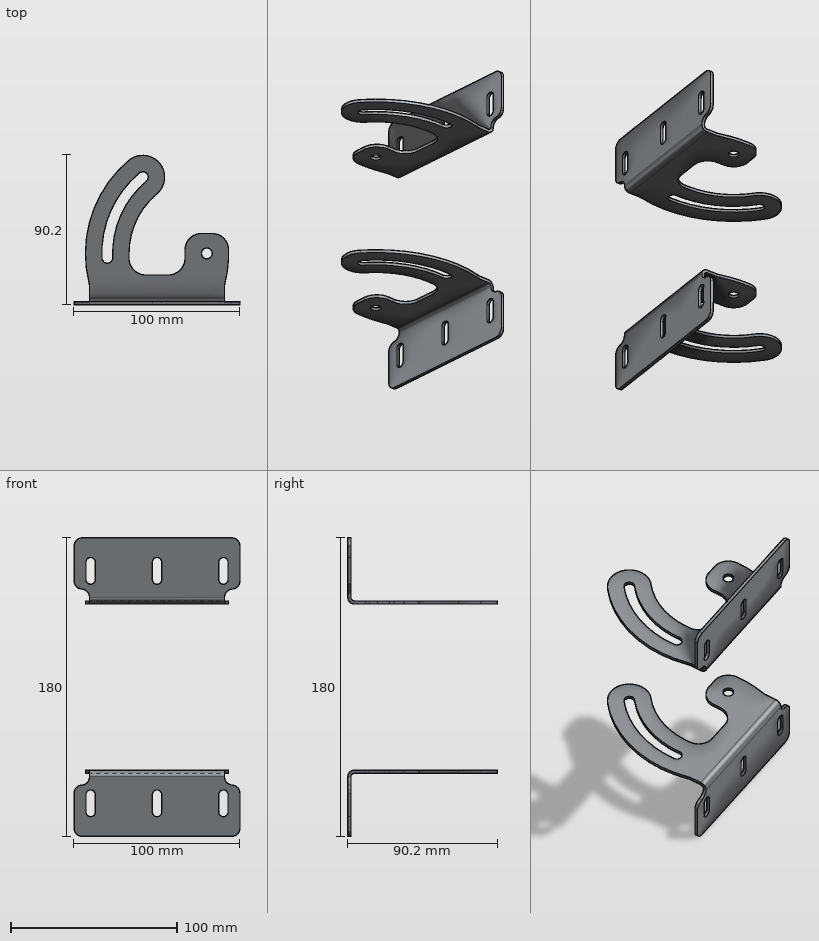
import cadquery as cq
import math

thickness = 2.0
bend_inner_radius = 2.0
bend_radius = bend_inner_radius + thickness

bracket_gap = 100.0
bracket_height = 40.0
sheet_bottom = bracket_gap / 2
flange_top = sheet_bottom + bracket_height

flange_width = 100.0
flange_corner_radius = 5.0
neck_width = 81.4
neck_half = neck_width / 2
relief_radius = 5.0

mount_slot_pitch = 40.0
mount_slot_length = 16.0
mount_slot_width = 5.5
mount_slot_height = sheet_bottom + 20.0

pivot_x = 30.0
pivot_y = 31.0
pivot_hole_diameter = 6.4
swing_radius = 2 * pivot_x
swing_slot_width = pivot_hole_diameter
swing_slot_start = 182.5
swing_slot_end = 130.0

arm_margin = 10.0
arm_half_width = swing_slot_width / 2 + arm_margin
arm_outer_radius = swing_radius + arm_half_width
arm_inner_radius = swing_radius - arm_half_width

throat_bottom = 18.1
throat_radius = 10.0
throat_half_width = pivot_x - arm_half_width

lug_top = 43.1
lug_corner_radius = 10.0
neck_fillet_radius = 10.0


def on_circle(center, radius, degrees):
    angle = math.radians(degrees)
    return (center[0] + radius * math.cos(angle), center[1] + radius * math.sin(angle))


def angle_between(center, point):
    """Direction from center to point, in degrees from 0 to 360."""
    return math.degrees(math.atan2(point[1] - center[1], point[0] - center[0])) % 360


def arc_to(outline, center, radius, start, end):
    """Continue an outline along a circle from one angle to another."""
    middle = on_circle(center, radius, (start + end) / 2)
    return outline.threePointArc(middle, on_circle(center, radius, end))


def make_flange():
    radius = flange_corner_radius
    bend_top = sheet_bottom + bend_radius
    corner_x = flange_width / 2 - radius
    relief_x = neck_half + relief_radius

    center_distance = radius + relief_radius
    lower_corner_z = bend_top + math.sqrt(center_distance**2 - (relief_x - corner_x) ** 2)
    upper_corner_z = flange_top - radius
    relief_end = angle_between((relief_x, bend_top), (corner_x, lower_corner_z))

    outline = cq.Workplane("XZ").moveTo(neck_half, bend_top)
    outline = arc_to(outline, (relief_x, bend_top), relief_radius, 180, relief_end)
    outline = arc_to(outline, (corner_x, lower_corner_z), radius, relief_end - 180, 0)
    outline = outline.lineTo(flange_width / 2, upper_corner_z)
    outline = arc_to(outline, (corner_x, upper_corner_z), radius, 0, 90)
    outline = outline.lineTo(0, flange_top).lineTo(0, bend_top).close()
    right_half = outline.extrude(-thickness)
    flange = right_half.union(right_half.mirror("YZ")).clean()

    slots = (
        cq.Workplane("XZ")
        .pushPoints([(i * mount_slot_pitch, mount_slot_height) for i in (-1, 0, 1)])
        .slot2D(mount_slot_length, mount_slot_width, 90)
        .extrude(-thickness)
    )
    return flange.cut(slots)


def make_bend():
    center = (bend_radius, sheet_bottom + bend_radius)
    profile = cq.Workplane("YZ", origin=(-neck_half, 0, 0)).moveTo(*on_circle(center, bend_radius, 180))
    profile = arc_to(profile, center, bend_radius, 180, 270)
    profile = profile.lineTo(*on_circle(center, bend_inner_radius, 270))
    profile = arc_to(profile, center, bend_inner_radius, 270, 180)
    return profile.close().extrude(neck_width)


def make_arm_outline():
    pivot = (pivot_x, pivot_y)
    mirrored_pivot = (-pivot_x, pivot_y)

    fillet_x = neck_half + neck_fillet_radius
    fillet_distance = arm_outer_radius + neck_fillet_radius
    outer_drop = math.degrees(math.acos((pivot_x + fillet_x) / fillet_distance))
    fillet_y = pivot_y - fillet_distance * math.sin(math.radians(outer_drop))
    tip_center = on_circle(pivot, swing_radius, swing_slot_end)

    throat_corner_x = throat_half_width - throat_radius
    throat_corner_y = throat_bottom + throat_radius

    corner_y = lug_top - lug_corner_radius
    corner_reach = math.sqrt((arm_outer_radius - lug_corner_radius) ** 2 - (corner_y - pivot_y) ** 2)
    left_corner = (throat_half_width + lug_corner_radius, corner_y)
    right_corner = (corner_reach - pivot_x, corner_y)
    side_start = angle_between(mirrored_pivot, right_corner)

    outline = (
        cq.Workplane("XY", origin=(0, 0, sheet_bottom))
        .moveTo(-neck_half, bend_radius)
        .lineTo(-neck_half, fillet_y)
    )
    outline = arc_to(outline, (-fillet_x, fillet_y), neck_fillet_radius, 0, outer_drop)
    outline = arc_to(outline, pivot, arm_outer_radius, 180 + outer_drop, swing_slot_end)
    outline = arc_to(outline, tip_center, arm_half_width, swing_slot_end, swing_slot_end - 180)
    outline = arc_to(outline, pivot, arm_inner_radius, swing_slot_end, 180)
    outline = outline.lineTo(-throat_half_width, throat_corner_y)
    outline = arc_to(outline, (-throat_corner_x, throat_corner_y), throat_radius, 180, 270)
    outline = outline.lineTo(throat_corner_x, throat_bottom)
    outline = arc_to(outline, (throat_corner_x, throat_corner_y), throat_radius, -90, 0)
    outline = outline.lineTo(throat_half_width, corner_y)
    outline = arc_to(outline, left_corner, lug_corner_radius, 180, 90)
    outline = outline.lineTo(right_corner[0], lug_top)
    outline = arc_to(outline, right_corner, lug_corner_radius, 90, side_start)
    outline = arc_to(outline, mirrored_pivot, arm_outer_radius, side_start, -outer_drop)
    outline = arc_to(outline, (fillet_x, fillet_y), neck_fillet_radius, 180 - outer_drop, 180)
    return outline.lineTo(neck_half, bend_radius).close()


def make_swing_slot():
    pivot = (pivot_x, pivot_y)
    half = swing_slot_width / 2
    start = swing_slot_start
    end = swing_slot_end
    start_center = on_circle(pivot, swing_radius, start)
    end_center = on_circle(pivot, swing_radius, end)
    outline = cq.Workplane("XY", origin=(0, 0, sheet_bottom)).moveTo(
        *on_circle(pivot, swing_radius + half, start)
    )
    outline = arc_to(outline, pivot, swing_radius + half, start, end)
    outline = arc_to(outline, end_center, half, end, end - 180)
    outline = arc_to(outline, pivot, swing_radius - half, end, start)
    outline = arc_to(outline, start_center, half, start + 180, start)
    return outline.close().extrude(thickness)


def make_arm_plate():
    pivot_hole = (
        cq.Workplane("XY", origin=(pivot_x, pivot_y, sheet_bottom))
        .circle(pivot_hole_diameter / 2)
        .extrude(thickness)
    )
    return make_arm_outline().extrude(thickness).cut(make_swing_slot()).cut(pivot_hole)


def make_bracket(mirrored):
    """The bracket above Z = 0, or its mirror image below."""
    bracket = make_flange().union(make_bend()).union(make_arm_plate())
    if mirrored:
        bracket = bracket.mirror("XY")
    return bracket


brackets = [make_bracket(mirrored) for mirrored in (False, True)]

result = cq.Compound.makeCompound([bracket.val() for bracket in brackets])